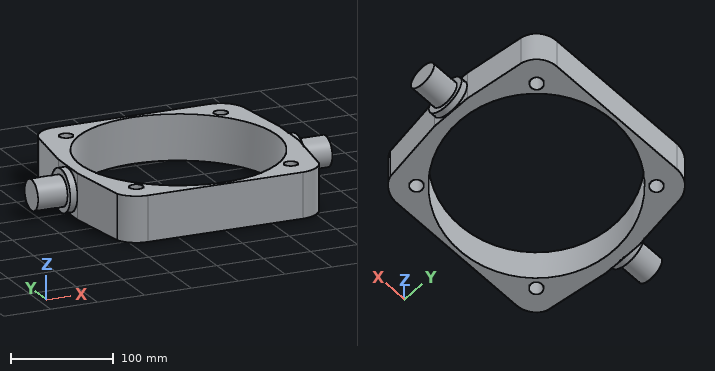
import cadquery as cq
import math

overall_length = 314.0
body_length = 236.0
body_width = 220.0
body_height = 48.0
bore_diameter = 210.0
hole_diameter = 14.0
corner_radius = 27.5
collar_diameter = 45.0
collar_thickness = 7.5
trunnion_diameter = 32.0

front_taper_end = 93.3
rear_taper_end = 87.5

hole_offset = body_width / 2 - corner_radius
flat_half_width = collar_diameter / 2


def make_frame():
    """Frame with narrow side flats and tapered sides running into rounded corners."""
    side_x = body_length / 2
    top_y = body_width / 2

    front_angle = math.asin((front_taper_end - hole_offset) / corner_radius)
    rear_angle = math.asin((rear_taper_end - hole_offset) / corner_radius)
    front_middle = (front_angle + math.pi / 2) / 2
    rear_middle = (rear_angle + math.pi / 2) / 2

    def corner_point(angle, x_sign, y_sign):
        x = hole_offset + corner_radius * math.cos(angle)
        y = hole_offset + corner_radius * math.sin(angle)
        return (x_sign * x, y_sign * y)

    outline = (
        cq.Workplane("XY")
        .workplane(offset=-body_height / 2)
        .moveTo(side_x, -flat_half_width)
        .lineTo(side_x, flat_half_width)
        .lineTo(*corner_point(rear_angle, 1, 1))
        .threePointArc(corner_point(rear_middle, 1, 1), (hole_offset, top_y))
        .lineTo(-hole_offset, top_y)
        .threePointArc(corner_point(rear_middle, -1, 1), corner_point(rear_angle, -1, 1))
        .lineTo(-side_x, flat_half_width)
        .lineTo(-side_x, -flat_half_width)
        .lineTo(*corner_point(front_angle, -1, -1))
        .threePointArc(corner_point(front_middle, -1, -1), (-hole_offset, -top_y))
        .lineTo(hole_offset, -top_y)
        .threePointArc(corner_point(front_middle, 1, -1), corner_point(front_angle, 1, -1))
        .close()
    )
    return outline.extrude(body_height)


def make_axle(diameter, length):
    """Cylinder along X, centred on the origin."""
    return cq.Workplane("YZ").circle(diameter / 2).extrude(length / 2, both=True)


def make_bore():
    return cq.Workplane("XY").circle(bore_diameter / 2).extrude(body_height, both=True)


def make_bolt_holes():
    return (
        cq.Workplane("XY")
        .rect(2 * hole_offset, 2 * hole_offset, forConstruction=True)
        .vertices()
        .circle(hole_diameter / 2)
        .extrude(body_height, both=True)
    )


collars = make_axle(collar_diameter, body_length + 2 * collar_thickness)
trunnions = make_axle(trunnion_diameter, overall_length)
result = make_frame().union(collars).union(trunnions).cut(make_bore()).cut(make_bolt_holes())